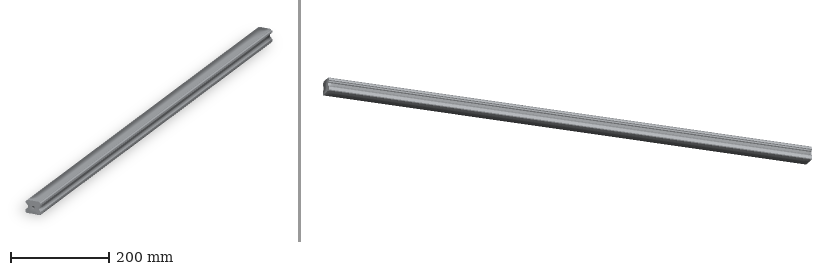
import cadquery as cq

RAIL_WIDTH = 34.0
RAIL_LENGTH = 1060.0
RAIL_HEIGHT = 29.0

RELIEF_WIDTH = 12.0
RELIEF_DEPTH = 0.3
RELIEF_SIDE_RUN = 1.6
FOOT_CHAMFER = 1.5
BASE_FLANK_TOP = 7.6

WAIST_WIDTH = 24.8
WAIST_TOP = 17.5

HEAD_FLANK_BOTTOM = 22.2
HEAD_FLANK_TOP = 25.7
LOWER_RACE_INSET = 2.2
LOWER_RACE_HEIGHT = 3.0
UPPER_RACE_INSET = 3.3
UPPER_RACE_HEIGHT = 2.8
RACE_SAGITTA = 0.8
TOP_FACE_WIDTH = 26.5

END_HOLE_DIAMETER = 6.2
END_HOLE_HEIGHT = RAIL_HEIGHT / 2
END_HOLE_DEPTH = 15.0


def half_section():
    """Section of the rail on its +X side, from the middle plane outwards."""
    half_width = RAIL_WIDTH / 2
    half_relief = RELIEF_WIDTH / 2
    half_waist = WAIST_WIDTH / 2
    base_slope_rise = half_width - half_waist
    return (
        cq.Workplane("XZ")
        .moveTo(0, RELIEF_DEPTH)
        .lineTo(half_relief, RELIEF_DEPTH)
        .lineTo(half_relief + RELIEF_SIDE_RUN, 0)
        .lineTo(half_width - FOOT_CHAMFER, 0)
        .lineTo(half_width, FOOT_CHAMFER)
        .lineTo(half_width, BASE_FLANK_TOP)
        .lineTo(half_waist, BASE_FLANK_TOP + base_slope_rise)
        .lineTo(half_waist, WAIST_TOP)
        .lineTo(half_width - LOWER_RACE_INSET, HEAD_FLANK_BOTTOM - LOWER_RACE_HEIGHT)
        .sagittaArc((half_width, HEAD_FLANK_BOTTOM), RACE_SAGITTA)
        .lineTo(half_width, HEAD_FLANK_TOP)
        .sagittaArc((half_width - UPPER_RACE_INSET, HEAD_FLANK_TOP + UPPER_RACE_HEIGHT), RACE_SAGITTA)
        .lineTo(TOP_FACE_WIDTH / 2, RAIL_HEIGHT)
        .lineTo(0, RAIL_HEIGHT)
        .close()
    )


def rail_body():
    """Rail along Y, centred on the origin in X and Y, with both sides alike."""
    half_rail = half_section().extrude(RAIL_LENGTH / 2, both=True)
    return half_rail.union(half_rail.mirror("YZ")).clean()


def end_hole():
    """Cylinder running from the front end face into the rail."""
    front_face = cq.Workplane("XZ", origin=(0, -RAIL_LENGTH / 2, END_HOLE_HEIGHT))
    return front_face.circle(END_HOLE_DIAMETER / 2).extrude(-END_HOLE_DEPTH)


result = rail_body().cut(end_hole())